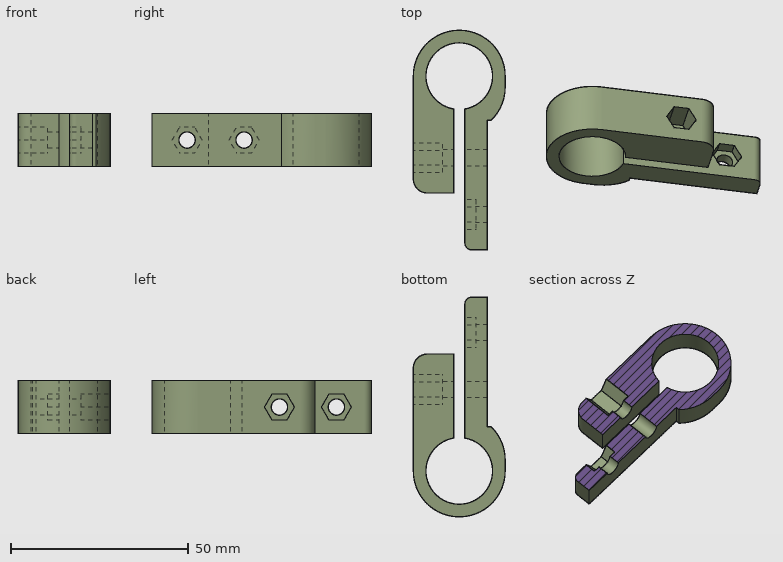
import cadquery as cq
import math

total_length = 62.0
height = 15.0
ring_width = 26.0
bore_diameter = 18.7

slot_left = -1.5
slot_right = 1.55
block_length = 33.0
block_corner_radius = 4.0
arm_outer_side = 7.95
arm_corner_radius = 2.0

shoulder_arc_drop = 3.1
shoulder_drop = 12.45

screw_diameter = 4.5
block_screw_y = -23.0
arm_screw_y = -39.05
nut_across_flats = 7.3
nut_floor_thickness = 3.2

ring_radius = ring_width / 2
block_end_y = -block_length
arm_end_y = ring_radius - total_length


def shoulder_arc_point(y):
    """Point on the shoulder arc, which has the ring radius but a lower centre."""
    return math.sqrt(ring_radius**2 - (y + shoulder_arc_drop) ** 2), y


def extrude_centred(sketch):
    return sketch.extrude(height / 2, both=True)


def make_body():
    """Ring, thick block and thin arm, before the bore and slot are cut."""
    shoulder_middle_y = -(shoulder_arc_drop + shoulder_drop) / 2
    body = extrude_centred(
        cq.Workplane("XY")
        .moveTo(-ring_radius, 0)
        .threePointArc((0, ring_radius), (ring_radius, 0))
        .lineTo(ring_radius, -shoulder_arc_drop)
        .threePointArc(shoulder_arc_point(shoulder_middle_y), shoulder_arc_point(-shoulder_drop))
        .lineTo(arm_outer_side, -shoulder_drop)
        .lineTo(arm_outer_side, arm_end_y)
        .lineTo(slot_right, arm_end_y)
        .lineTo(slot_right, block_end_y)
        .lineTo(-ring_radius, block_end_y)
        .close()
    )
    body = body.edges(cq.NearestToPointSelector((-ring_radius, block_end_y, 0))).fillet(block_corner_radius)
    return body.edges(cq.NearestToPointSelector((slot_right, arm_end_y, 0))).fillet(arm_corner_radius)


def make_bore_and_slot():
    bore = extrude_centred(cq.Workplane("XY").circle(bore_diameter / 2))
    slot = (
        cq.Workplane("XY")
        .box(slot_right - slot_left, block_length, height, centered=(False, False, True))
        .translate((slot_left, block_end_y, 0))
    )
    return bore.union(slot)


def make_screw_hole(y, pocket_mouth_x, pocket_floor_x):
    """Screw hole along X with a hexagonal nut pocket opening toward -X."""
    nut_across_corners = nut_across_flats / math.cos(math.radians(30))
    hole = (
        cq.Workplane("YZ", origin=(-ring_radius, y, 0))
        .circle(screw_diameter / 2)
        .extrude(ring_width)
    )
    pocket = (
        cq.Workplane("YZ", origin=(pocket_mouth_x, y, 0))
        .polygon(6, nut_across_corners)
        .extrude(pocket_floor_x - pocket_mouth_x)
    )
    return hole.union(pocket)


block_screw_hole = make_screw_hole(block_screw_y, -ring_radius, slot_left - nut_floor_thickness)
arm_screw_hole = make_screw_hole(arm_screw_y, slot_right, arm_outer_side - nut_floor_thickness)

result = make_body().cut(make_bore_and_slot()).cut(block_screw_hole).cut(arm_screw_hole)